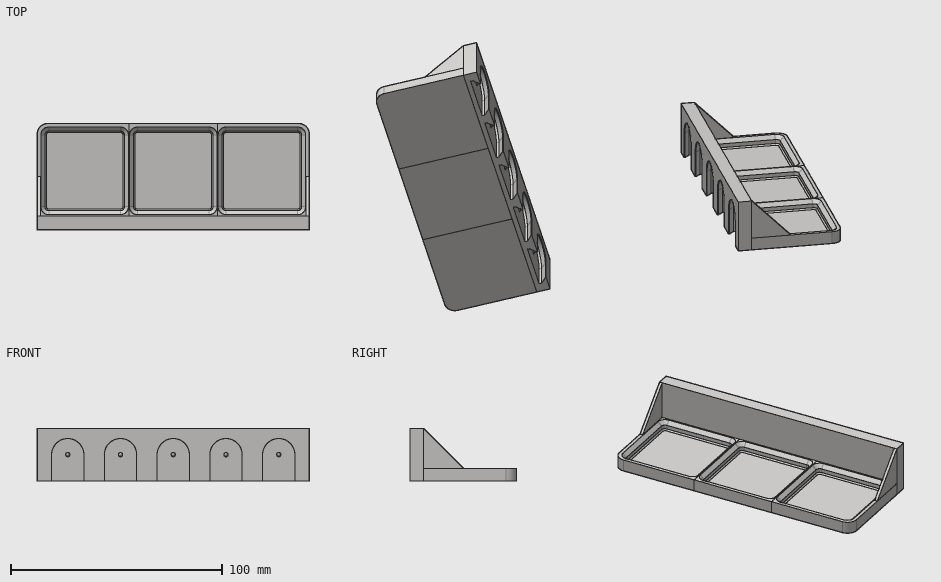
import cadquery as cq

cell = 42.0
cell_count = 3
side_margin = 1.5
length = cell_count * cell + 2 * side_margin
shelf_depth = 44.0
far_margin = 1.5
near_margin = shelf_depth - cell - far_margin
back_thickness = 6.5
back_height = 25.0
outer_corner_radius = 5.0

pocket_clearance = 0.25
pocket_size = cell - 2 * pocket_clearance
pocket_corner_radius = 3.75
upper_slope = 1.9
wall_height = 1.95
lower_slope = 0.7
floor_thickness = 1.5
lower_wall_z = floor_thickness + lower_slope
upper_wall_z = lower_wall_z + wall_height
shelf_height = upper_wall_z + upper_slope

gusset_thickness = side_margin
gusset_leg = back_height - shelf_height

slot_count = 5
slot_pitch = 25.0
slot_center_z = back_height / 2
slot_depth = 4.15
slot_mouth_radius = 7.65
slot_inner_radius = 10.15
slot_inner_wall = 1.2121
slot_taper = slot_inner_radius - slot_mouth_radius
slot_lip = slot_depth - slot_inner_wall - slot_taper
dimple_radius = 1.0
dimple_height = 1.0


def rounded_square(size, radius):
    """Sketch of a centred square with rounded corners."""
    return cq.Sketch().rect(size, size).vertices().fillet(radius)


def pocket_slope(top_size, top_radius, inset, top_z):
    """Solid that narrows downwards at 45 degrees from a rounded square at height top_z."""
    top = rounded_square(top_size, top_radius).moved(cq.Location(cq.Vector(0, 0, inset)))
    bottom = rounded_square(top_size - 2 * inset, top_radius - inset)
    return cq.Workplane("XY").workplane(offset=top_z - inset).placeSketch(bottom, top).loft()


def make_pocket():
    """Stepped pocket centred on the Z axis."""
    wall_size = pocket_size - 2 * upper_slope
    wall_radius = pocket_corner_radius - upper_slope
    wall_outline = rounded_square(wall_size, wall_radius)
    upper = pocket_slope(pocket_size, pocket_corner_radius, upper_slope, shelf_height)
    wall = cq.Workplane("XY").workplane(offset=lower_wall_z).placeSketch(wall_outline).extrude(wall_height)
    lower = pocket_slope(wall_size, wall_radius, lower_slope, lower_wall_z)
    return upper.union(wall).union(lower)


def make_tray(index):
    """One tray of the shelf; the end trays carry the side margin and a round outer corner."""
    center_x = (index - (cell_count - 1) / 2) * cell
    is_first = index == 0
    is_last = index == cell_count - 1
    left = center_x - cell / 2 - (side_margin if is_first else 0)
    right = center_x + cell / 2 + (side_margin if is_last else 0)
    tray = cq.Workplane("XY").box(right - left, shelf_depth, shelf_height, centered=False)
    tray = tray.translate((left, back_thickness, 0))
    if is_first:
        tray = tray.edges("|Z and >Y and <X").fillet(outer_corner_radius)
    if is_last:
        tray = tray.edges("|Z and >Y and >X").fillet(outer_corner_radius)
    center_y = back_thickness + near_margin + cell / 2
    return tray.cut(make_pocket().translate((center_x, center_y, 0)))


def make_slot():
    """Undercut slot with a domed top and an open bottom, centred on X = 0."""
    half_profile = [
        (0, 0),
        (slot_mouth_radius, 0),
        (slot_mouth_radius, slot_lip),
        (slot_inner_radius, slot_lip + slot_taper),
        (slot_inner_radius, slot_depth),
        (0, slot_depth),
    ]
    dome = cq.Workplane("XY").polyline(half_profile).close().revolve(360, (0, 0), (0, 1))
    channel_half = cq.Workplane("XY").polyline(half_profile).close().extrude(-slot_center_z)
    channel = channel_half.union(channel_half.mirror("YZ"))
    slot = dome.union(channel)
    dimple_base = cq.Vector(0, slot_depth, 0)
    towards_wall = cq.Vector(0, -1, 0)
    dimple = cq.Solid.makeCone(dimple_radius, 0, dimple_height, dimple_base, towards_wall)
    return slot.cut(cq.Workplane(dimple)).translate((0, 0, slot_center_z))


def make_back_plate():
    """Upright plate with a row of mounting slots in its wall side."""
    plate = cq.Workplane("XY").box(length, back_thickness, back_height, centered=(True, False, False))
    slot = make_slot()
    for index in range(slot_count):
        slot_x = (index - (slot_count - 1) / 2) * slot_pitch
        plate = plate.cut(slot.translate((slot_x, 0, 0)))
    return plate


def make_gusset(left):
    """Triangular brace standing on the shelf against the back plate."""
    return (
        cq.Workplane("YZ")
        .moveTo(back_thickness, shelf_height)
        .lineTo(back_thickness + gusset_leg, shelf_height)
        .lineTo(back_thickness, back_height)
        .close()
        .extrude(gusset_thickness)
        .translate((left, 0, 0))
    )


back_plate = make_back_plate()
trays = [make_tray(index) for index in range(cell_count)]
gussets = [make_gusset(left) for left in (-length / 2, length / 2 - gusset_thickness)]

result = cq.Compound.makeCompound([body.val() for body in [back_plate, *trays, *gussets]])